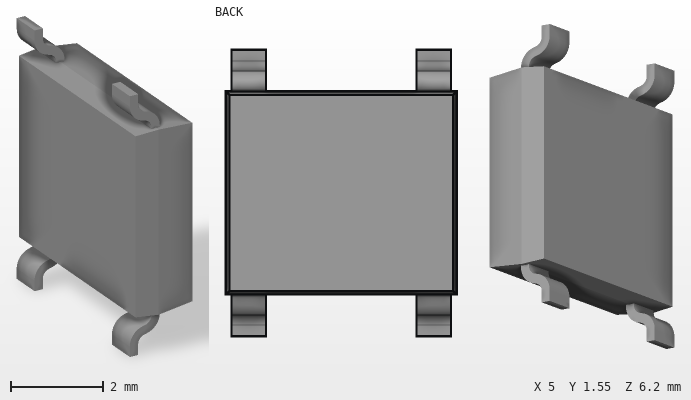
import cadquery as cq
import math

housing_width = 5.0
housing_height = 4.4
back_depth = 0.9
front_depth = 0.55
draft_angle = 5.0

overall_height = 6.2
lead_width = 0.75
lead_thickness = 0.21
lead_pitch = 4.0
lead_front = -0.65
foot_length = 0.25
bend_radius = 0.31
bend_angle = math.radians(75)


def make_front_half(depth):
    """Block that narrows from the parting plane toward the front (-Y)."""
    return (
        cq.Workplane("XZ")
        .rect(housing_width, housing_height)
        .extrude(depth, taper=draft_angle)
    )


def make_housing():
    """Two drafted halves joined at the parting plane."""
    back_half = make_front_half(back_depth).mirror("XZ")
    return make_front_half(front_depth).union(back_half)


def make_upper_lead(x_center, housing):
    """One upward lead, swept along its centreline and trimmed to the housing surface."""
    foot_y = lead_front + lead_thickness / 2
    bend_rise = bend_radius * math.sin(bend_angle)
    bend_offset = bend_radius * (1 - math.cos(bend_angle))
    slope_run = -foot_y - 2 * bend_offset
    slope_rise = slope_run / math.tan(bend_angle)

    top_z = overall_height / 2
    foot_z = top_z - foot_length
    slope_top_z = foot_z - bend_rise
    slope_bottom_z = slope_top_z - slope_rise
    stub_z = slope_bottom_z - bend_rise
    root_z = housing_height / 2 - lead_thickness / 2

    half_turn_y = bend_radius * (1 - math.cos(bend_angle / 2))
    half_turn_z = bend_radius * math.sin(bend_angle / 2)
    centerline = (
        cq.Workplane("YZ", origin=(x_center, 0, 0))
        .moveTo(0, root_z)
        .lineTo(0, stub_z)
        .threePointArc((-half_turn_y, stub_z + half_turn_z), (-bend_offset, slope_bottom_z))
        .lineTo(foot_y + bend_offset, slope_top_z)
        .threePointArc((foot_y + half_turn_y, foot_z - half_turn_z), (foot_y, foot_z))
        .lineTo(foot_y, top_z)
    )
    strip = (
        cq.Workplane("XY", origin=(x_center, 0, root_z))
        .rect(lead_width, lead_thickness)
        .sweep(centerline)
    )
    return strip.cut(housing)


housing = make_housing()

leads = []
for side in (-1, 1):
    upper_lead = make_upper_lead(side * lead_pitch / 2, housing)
    lower_lead = upper_lead.mirror("XY")
    leads.append(upper_lead.solids().val())
    leads.append(lower_lead.solids().val())

result = cq.Compound.makeCompound([housing.solids().val(), *leads])